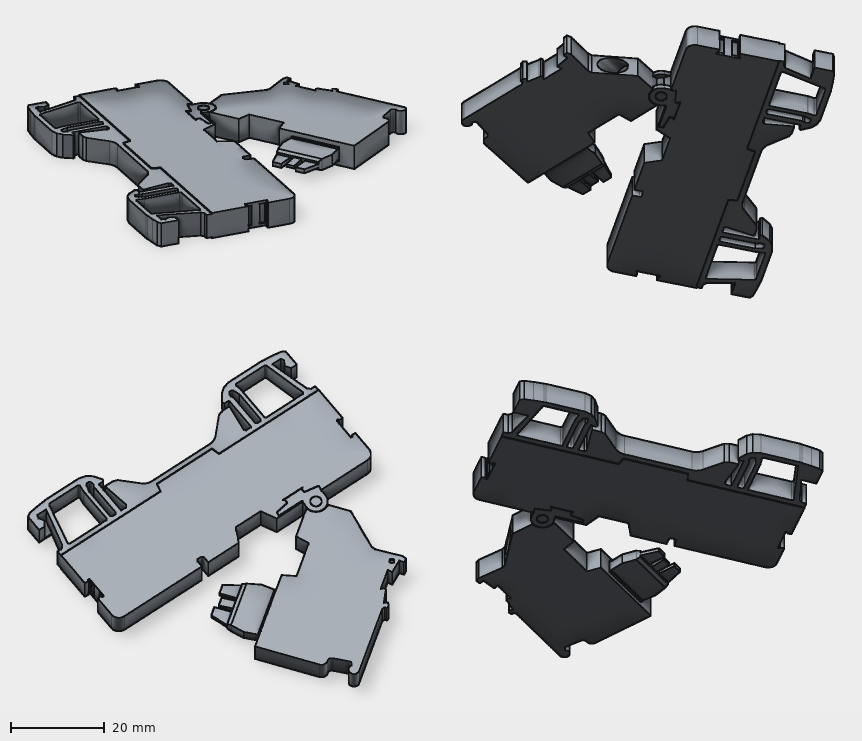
import cadquery as cq

housing_thickness = 5.9
thin_thickness = 5.45

half_length = 34.14
housing_top = 33.1
housing_bottom = 12.95
skirt_bottom = 11.7
corner_radius = 2.0
end_notch_bottom = 21.6
end_notch_top = 26.15
end_notch_depth = 1.25
relief_depth = 0.3
relief_height = 0.3
end_pocket_height = 1.4
end_pocket_depth = 0.6
end_pocket_thickness = 4.65
top_notch_center = -3.2
top_notch_half_floor = 3.3
top_notch_half_mouth = 5.0
top_notch_floor = 29.6
groove_center = 10.79
groove_width = 1.7
groove_floor = 31.1
tongue_half_top = 7.7
tongue_half_bottom = 7.3
tongue_bottom = 11.05

bridge_bottom = 9.8
hook_top = 5.15
hook_floor_thickness = 0.45

hinge_x = -17.49
hinge_y = 34.55
hinge_radius = 2.5
hinge_pin_radius = 1.215
hinge_pin_recess = 0.15
ear_thickness = 1.1
ear_clearance = 0.15
gap_thickness = thin_thickness - 2 * ear_thickness
gap_ramp_height = 1.25
gap_ramp_run = 0.9
knuckle_radius = 1.5
bracket_shelf = 32.8
lever_angle = 35.6
lever_edge = -1.4
lever_end = 37.85
lever_top = 21.6
wire_hole_diameter = 4.65
wire_hole_x = 3.8
wire_hole_floor = 8.1
pin_hole_x = 8.9
pin_hole_y = 19.9
pin_hole_radius = 0.55
pin_hole_depth = 0.7

plug_center = 28.35
plug_half_root = 5.75
plug_thickness = 2.65
plug_rim_depth = 0.5
plug_rim_thickness = 3.25
plug_band_top = -8.1
plug_shoulder = -9.05
plug_end_thickness = 1.85
tine_thickness = 0.95
middle_tine_root_thickness = 1.3
middle_tine_tip_thickness = 0.6
middle_tine_half_width = 0.995
middle_tine_end = -12.3
tine_end = -13.0
tine_gap = 1.8


def plate(outline, thickness):
    """Extrude a closed outline symmetrically about Z = 0."""
    return outline.close().extrude(thickness / 2, both=True)


def polygon(points, thickness):
    return plate(cq.Workplane("XY").polyline(points), thickness)


def block(x_min, x_max, y_min, y_max, thickness):
    box = cq.Workplane("XY").box(x_max - x_min, y_max - y_min, thickness)
    return box.translate(((x_min + x_max) / 2, (y_min + y_max) / 2, 0))


def disc(x, y, radius, thickness):
    return cq.Workplane("XY").center(x, y).circle(radius).extrude(thickness / 2, both=True)


def on_both_ends(shape):
    return shape.union(shape.mirror("YZ"))


def make_housing():
    housing = block(-half_length, half_length, housing_bottom, housing_top, housing_thickness)
    housing = housing.edges("|Z and >Y").fillet(corner_radius)
    tongue = polygon(
        [
            (-tongue_half_top, housing_bottom),
            (-tongue_half_bottom, tongue_bottom),
            (tongue_half_bottom, tongue_bottom),
            (tongue_half_top, housing_bottom),
        ],
        housing_thickness,
    )
    top_notch = polygon(
        [
            (top_notch_center - top_notch_half_floor, top_notch_floor),
            (top_notch_center + top_notch_half_floor, top_notch_floor),
            (top_notch_center + top_notch_half_mouth, housing_top),
            (top_notch_center - top_notch_half_mouth, housing_top),
        ],
        housing_thickness,
    )
    groove = block(
        groove_center - groove_width / 2, groove_center + groove_width / 2,
        groove_floor, housing_top, housing_thickness,
    ).edges("|Z and <Y").fillet(groove_width / 4)
    return housing.union(tongue).cut(top_notch).cut(groove).cut(on_both_ends(make_end_notch()))


def make_end_notch():
    floor_x = -half_length + end_notch_depth
    notch = block(-half_length, floor_x, end_notch_bottom, end_notch_top, housing_thickness)
    relief = block(
        floor_x - relief_depth, floor_x + relief_depth / 2,
        end_notch_bottom - relief_height, end_notch_top + relief_height, housing_thickness,
    )
    notch = notch.union(relief)
    for pocket_bottom in (end_notch_bottom, end_notch_top - end_pocket_height):
        pocket = block(
            floor_x - relief_depth, floor_x + end_pocket_depth,
            pocket_bottom, pocket_bottom + end_pocket_height, end_pocket_thickness,
        )
        notch = notch.union(pocket)
    return notch


def make_feet():
    outline = (
        cq.Workplane("XY")
        .moveTo(0, bridge_bottom)
        .lineTo(-7.6, bridge_bottom)
        .threePointArc((-8.8, 9.6), (-9.8, 8.9))
        .lineTo(-13.4, 5.2)
        .lineTo(-14.4, 4.85)
        .lineTo(-16.5, 4.85)
        .lineTo(-15.55, 11.3)
        .lineTo(-15.9, skirt_bottom)
        .lineTo(-half_length, skirt_bottom)
        .lineTo(-half_length, housing_bottom)
        .lineTo(0, housing_bottom)
    )
    bridge = on_both_ends(plate(outline, thin_thickness))
    return bridge.union(on_both_ends(make_left_foot()))


def make_left_foot():
    foot = polygon(
        [
            (-33.1, skirt_bottom), (-32.4, 11.1), (-30.8, hook_top), (-half_length, hook_top),
            (-half_length, 1.1), (-33.3, 0.6), (-31.3, 0.3), (-29.1, 0.1), (-28.6, 0), (-19.8, 0),
            (-18.2, 0.45), (-17.1, 1.3), (-15.8, 3.25), (-16.05, 3.7), (-17.2, 3.7),
            (-17.2, skirt_bottom),
        ],
        thin_thickness,
    )
    window = polygon(
        [(-31.2, skirt_bottom), (-28.7, 1.25), (-20.6, 1.25), (-20.9, 3.2), (-20.9, skirt_bottom)],
        thin_thickness,
    ).edges("|Z").fillet(0.4)
    slot = polygon(
        [
            (-19.95, skirt_bottom), (-19.95, 3.75), (-19.4, 2.0), (-18.35, 2.0), (-18.2, 3.1),
            (-18.5, 3.6), (-18.5, skirt_bottom),
        ],
        thin_thickness,
    ).edges("|Z and (>Y or <Y)").fillet(0.45)
    hook_pocket = polygon(
        [
            (-32.6, hook_top), (-31.9, 3.9), (-32.55, 2.7), (-32.25, 2.0), (-30.0, 2.0),
            (-30.8, hook_top),
        ],
        thin_thickness,
    ).translate((0, 0, hook_floor_thickness))
    return foot.cut(window).cut(slot).cut(hook_pocket)


def make_bracket(thickness):
    """Hinge bracket: a round eye on a stem, with a clip foot let into the housing."""
    base = polygon(
        [
            (hinge_x - hinge_radius, hinge_y), (hinge_x - hinge_radius, 32.9), (-20.2, 31.9),
            (-16.8, 31.3), (-16.8, 30.5), (-17.15, 30.2), (-11.9, 30.2), (-12.3, 30.5),
            (-12.3, 31.3), (-9.1, 31.8), (-9.0, bracket_shelf), (-15.2, bracket_shelf),
            (hinge_x + hinge_radius, hinge_y),
        ],
        thickness,
    )
    return base.union(disc(hinge_x, hinge_y, hinge_radius, thickness))


def make_ear_gap():
    """Space between the two ears, with a short ramp at its left side."""
    left = hinge_x - hinge_radius
    right = hinge_x + hinge_radius
    ramp_top = housing_top + gap_ramp_height
    return polygon(
        [
            (left, housing_top), (left + gap_ramp_run, ramp_top), (right, ramp_top),
            (right, hinge_y + hinge_radius), (left, hinge_y + hinge_radius),
        ],
        gap_thickness,
    )


def make_pin_recesses():
    core_thickness = thin_thickness - 2 * hinge_pin_recess
    recesses = disc(hinge_x, hinge_y, hinge_pin_radius, thin_thickness)
    return recesses.cut(disc(hinge_x, hinge_y, hinge_radius, core_thickness))


def swing(shape):
    """Move a shape from lever coordinates (hinge at the origin) to its open position."""
    return shape.rotate((0, 0, 0), (0, 0, 1), lever_angle).translate((hinge_x, hinge_y, 0))


def make_lever():
    outline = (
        cq.Workplane("XY")
        .moveTo(0, 7.8)
        .lineTo(0, 0)
        .lineTo(2.1, lever_edge)
        .lineTo(9.5, lever_edge)
        .lineTo(10.25, 1.7)
        .lineTo(18.7, 1.7)
        .lineTo(19.45, lever_edge)
        .lineTo(lever_end, lever_edge)
        .lineTo(lever_end, 12.95)
        .threePointArc((37.5, 14.0), (36.5, 14.4))
        .threePointArc((35.8, 14.65), (35.5, 15.25))
        .lineTo(35.2, 18.55)
        .threePointArc((35.4, 19.45), (35.95, 19.6))
        .threePointArc((37.85, 20.2), (36.75, lever_top))
        .lineTo(20.8, lever_top)
        .lineTo(20.2, 21.95)
        .lineTo(20.25, 22.5)
        .lineTo(19.5, 22.7)
        .lineTo(18.85, 22.25)
        .lineTo(19.3, 21.4)
        .lineTo(16.65, 20.9)
        .lineTo(16.0, 20.9)
        .lineTo(15.8, 20.5)
        .lineTo(16.1, 19.75)
        .lineTo(11.3, 19.75)
        .lineTo(11.55, 20.85)
        .lineTo(8.3, 21.35)
        .lineTo(8.5, 22.5)
        .lineTo(7.45, 22.6)
        .lineTo(7.1, 21.65)
        .lineTo(7.3, 15.7)
        .lineTo(7.0, 14.8)
    )
    lever = plate(outline, thin_thickness)
    wire_hole = (
        cq.Workplane("XZ", origin=(wire_hole_x, wire_hole_floor, 0))
        .circle(wire_hole_diameter / 2)
        .extrude(-lever_top)
    )
    pin_hole = (
        cq.Workplane("XY", origin=(pin_hole_x, pin_hole_y, thin_thickness / 2))
        .circle(pin_hole_radius)
        .extrude(-pin_hole_depth)
    )
    lever = lever.cut(wire_hole.intersect(lever)).cut(pin_hole)
    ear_space = disc(0, 0, hinge_radius + ear_clearance, thin_thickness)
    ear_space = ear_space.cut(disc(0, 0, lever_end, gap_thickness))
    return lever.cut(ear_space).union(disc(0, 0, knuckle_radius, gap_thickness))


def tapered_bar(profile, half_width):
    """Bar along Y whose thickness changes as given by (y, thickness) pairs."""
    upper = [(y, thickness / 2) for y, thickness in profile]
    lower = [(y, -thickness / 2) for y, thickness in reversed(profile)]
    outline = cq.Workplane("YZ").polyline(upper + lower)
    return outline.close().extrude(half_width, both=True)


def make_plug():
    body = polygon(
        [
            (-plug_half_root, 0), (-plug_half_root, -1.6), (-6.1, -5.0), (-5.4, plug_band_top),
            (-5.15, plug_shoulder), (5.15, plug_shoulder), (5.4, plug_band_top), (6.1, -5.0),
            (plug_half_root, -1.6), (plug_half_root, 0),
        ],
        plug_thickness,
    )
    side_profile = [
        (0, plug_thickness), (plug_band_top, plug_thickness), (plug_shoulder, plug_end_thickness),
    ]
    body = body.intersect(tapered_bar(side_profile, plug_center))
    rim = block(
        -plug_half_root, plug_half_root, lever_edge - plug_rim_depth, 0, plug_rim_thickness,
    )
    outer_tine = polygon(
        [
            (tine_gap, plug_band_top), (tine_gap, tine_end), (3.9, tine_end), (5.15, plug_shoulder),
            (5.15, plug_band_top),
        ],
        tine_thickness,
    )
    tine_profile = [
        (plug_band_top, middle_tine_root_thickness), (plug_shoulder, middle_tine_root_thickness),
        (middle_tine_end, middle_tine_tip_thickness),
    ]
    middle_tine = tapered_bar(tine_profile, middle_tine_half_width)
    plug = body.union(rim).union(on_both_ends(outer_tine)).union(middle_tine)
    return plug.translate((plug_center, 0, 0))


housing = make_housing().cut(make_bracket(housing_thickness))
bracket = make_bracket(thin_thickness)
lever = swing(make_lever().union(make_plug()))
base = housing.union(bracket).union(make_feet()).cut(make_ear_gap())
result = base.union(lever).cut(make_pin_recesses())